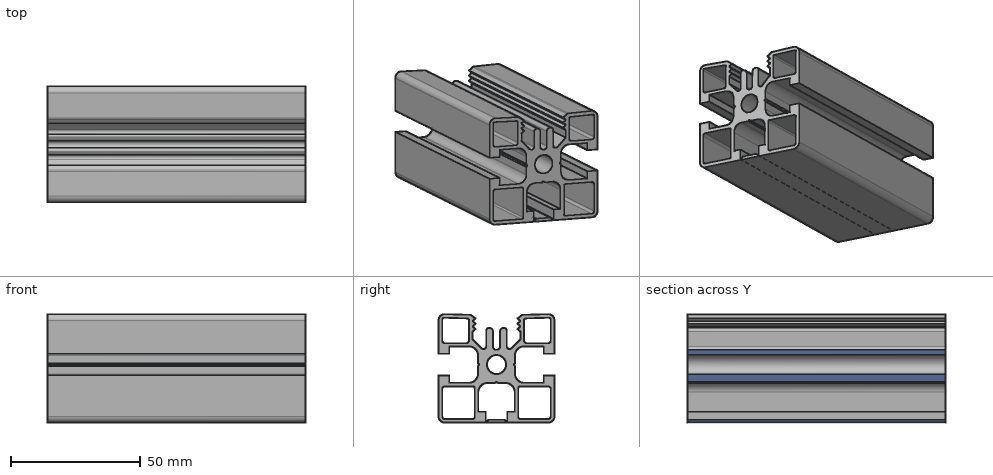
import math

import cadquery as cq


length = 100.0
half_width = 22.5
overall_height = 42.08
bottom = -half_width
crown = bottom + overall_height
outer_radius = 2.5

wall = 1.5
bore_diameter = 7.3

top_tilt = math.radians(1.6)

slot_half_opening = 4.15
lip_thickness = 4.3
cavity_half_width = 7.0
cavity_depth = 15.3
cavity_radius = 3.4
mark_half_width = 0.6
mark_depth = 0.45
web_thickness = 1.2
web_notch_width = 1.15
web_notch_floor = 0.35

groove_half_width = 9.2
tooth_depth = 1.1
tooth_pitch = 2.04
tooth_count = 3
first_tooth_z = 17.85
rim_half_width = 10.0
rim_radius = 1.0
groove_wall_end = 9.8
groove_floor_radius = 1.05
fin_inner = 1.35
fin_outer = 3.98
fin_top = 14.18
fin_outer_radius = 1.0
fin_inner_radius = 1.3
valley_floor = 5.75

upper_chamber_floor = 8.3
large_chamber_radius = 1.0
small_chamber_radius = 0.6
chamber_outer = half_width - wall
lower_chamber_inner = cavity_half_width + wall

clearance = 5.0


def top_height(y, offset=0.0):
    """Height of the tilted top face at y, lowered square to itself by offset."""
    arc_y = half_width - outer_radius
    arc_z = crown - outer_radius
    return arc_z + (outer_radius - offset) / math.cos(top_tilt) - (arc_y - y) * math.tan(top_tilt)


def prism(points):
    """Extrude a closed (y, z) outline over the full length."""
    return cq.Workplane("YZ").polyline(points).close().extrude(length)


def both_sides(half):
    """Join a solid with its mirror image about Y = 0."""
    return half.union(half.mirror("XZ"))


def round_edges(body, radius, points):
    """Fillet the lengthwise edges that pass through the given (y, z) points."""
    for y, z in points:
        edge = cq.selectors.NearestToPointSelector((length / 2, y, z))
        body = body.edges("|X").edges(edge).fillet(radius)
    return body


def mirrored_points(*points):
    """The given (y, z) points and their mirror images about Y = 0."""
    return [(side * y, z) for y, z in points for side in (1, -1)]


def outer_block():
    """Solid bar with rounded corners and a top that dips towards the middle."""
    half = prism([
        (0, bottom),
        (half_width, bottom),
        (half_width, top_height(half_width)),
        (0, top_height(0)),
    ])
    corners = mirrored_points((half_width, bottom), (half_width, top_height(half_width)))
    return round_edges(both_sides(half), outer_radius, corners)


def cut_top_groove(body):
    """Cut the toothed groove, leaving two upright fins on its floor."""
    rim = (rim_half_width, top_height(rim_half_width))
    groove_foot = (fin_outer, groove_wall_end - (groove_half_width - fin_outer))
    valley_axis = valley_floor + fin_inner
    outline = [(0, crown + clearance), (rim_half_width, crown + clearance), rim]
    for tooth in range(tooth_count):
        tip_z = first_tooth_z - tooth * tooth_pitch
        outline.append((groove_half_width - tooth_depth, tip_z))
        outline.append((groove_half_width, tip_z - tooth_pitch / 2))
    outline += [
        (groove_half_width, groove_wall_end),
        groove_foot,
        (fin_outer, fin_top),
        (fin_inner, fin_top),
        (fin_inner, valley_axis),
        (0, valley_axis),
    ]
    valley = cq.Workplane("YZ").center(0, valley_axis).circle(fin_inner).extrude(length)
    body = body.cut(both_sides(prism(outline))).cut(valley)
    body = round_edges(body, rim_radius, mirrored_points(rim))
    body = round_edges(body, groove_floor_radius, mirrored_points(groove_foot))
    body = round_edges(body, fin_outer_radius, mirrored_points((fin_outer, fin_top)))
    return round_edges(body, fin_inner_radius, mirrored_points((fin_inner, fin_top)))


def slot_cutter(opening_reach):
    """T-slot opening towards -Z, its mouth reaching down to opening_reach."""
    cavity_floor = bottom + cavity_depth
    cavity = prism([
        (-cavity_half_width, bottom + lip_thickness),
        (cavity_half_width, bottom + lip_thickness),
        (cavity_half_width, cavity_floor),
        (-cavity_half_width, cavity_floor),
    ])
    cavity = round_edges(cavity, cavity_radius, mirrored_points((cavity_half_width, cavity_floor)))
    mark = prism([
        (-mark_half_width, cavity_floor),
        (mark_half_width, cavity_floor),
        (0, cavity_floor + mark_depth),
    ])
    mouth = prism([
        (-slot_half_opening, opening_reach),
        (slot_half_opening, opening_reach),
        (slot_half_opening, bottom + lip_thickness),
        (-slot_half_opening, bottom + lip_thickness),
    ])
    return cavity.union(mark).union(mouth)


def cut_slots(body):
    """Cut both side slots and the bottom one, whose web is notched along its edges."""
    side_slot = slot_cutter(bottom - clearance)
    for angle in (90, -90):
        body = body.cut(side_slot.rotate((0, 0, 0), (1, 0, 0), angle))
    web_top = bottom + web_thickness
    notch = prism([
        (slot_half_opening - web_notch_width, web_top),
        (slot_half_opening, web_top),
        (slot_half_opening, bottom + web_notch_floor),
    ])
    return body.cut(slot_cutter(web_top)).cut(both_sides(notch))


def cut_chambers(body):
    """Hollow out the four corners."""
    upper_inner = groove_half_width + wall
    upper_corners = [
        (upper_inner, upper_chamber_floor),
        (chamber_outer, upper_chamber_floor),
        (chamber_outer, top_height(chamber_outer, wall)),
        (upper_inner, top_height(upper_inner, wall)),
    ]
    lower_corners = [
        (lower_chamber_inner, -chamber_outer),
        (lower_chamber_inner, -lower_chamber_inner),
        (chamber_outer, -lower_chamber_inner),
        (chamber_outer, -chamber_outer),
    ]
    upper = prism(upper_corners)
    lower = prism(lower_corners)
    upper = round_edges(upper, large_chamber_radius, upper_corners[:2])
    upper = round_edges(upper, small_chamber_radius, upper_corners[2:])
    lower = round_edges(lower, small_chamber_radius, lower_corners[:2])
    lower = round_edges(lower, large_chamber_radius, lower_corners[2:])
    return body.cut(both_sides(upper)).cut(both_sides(lower))


def cut_bore(body):
    """Drill the central bore through the full length."""
    return body.cut(cq.Workplane("YZ").circle(bore_diameter / 2).extrude(length))


result = cut_bore(cut_chambers(cut_slots(cut_top_groove(outer_block()))))